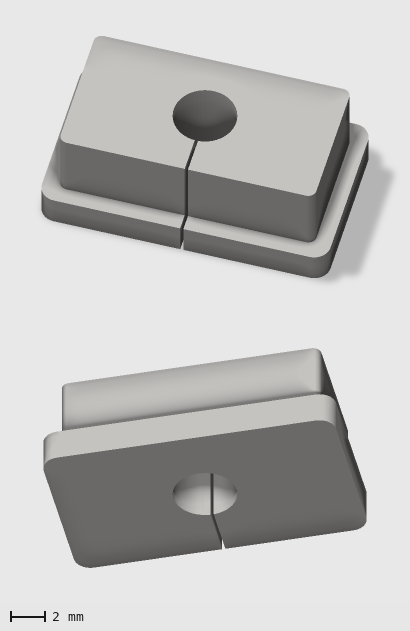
import cadquery as cq

flange_length = 17.6
flange_width = 10.2
flange_height = 2.0
total_height = 6.5
ledge = 1.0
flange_corner_radius = 1.0
body_corner_radius = 0.5
bore_diameter = 3.8
slit_width = 0.2

body_length = flange_length - 2 * ledge
body_width = flange_width - 2 * ledge


def rounded_block(length, width, height, corner_radius):
    """Block centred in X and Y, resting on Z = 0, with rounded vertical edges."""
    block = cq.Workplane("XY").box(length, width, height, centered=(True, True, False))
    return block.edges("|Z").fillet(corner_radius)


flange = rounded_block(flange_length, flange_width, flange_height, flange_corner_radius)
body = rounded_block(body_length, body_width, total_height, body_corner_radius)

bore = cq.Workplane("XY").circle(bore_diameter / 2).extrude(total_height)

slit_length = flange_width / 2
slit = (
    cq.Workplane("XY")
    .center(0, -slit_length / 2)
    .rect(slit_width, slit_length)
    .extrude(total_height)
)

result = flange.union(body).cut(bore).cut(slit)